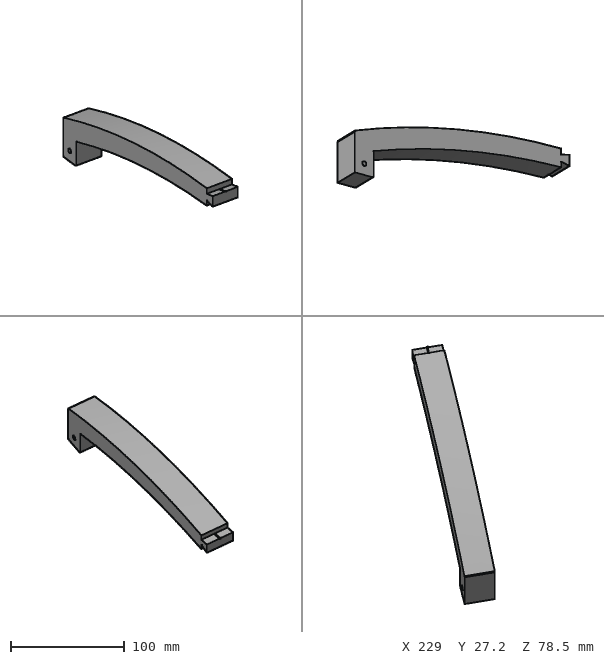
import cadquery as cq
import math

width = 27.2
height = 78.5

leg_width = 20.1
leg_outer_height = 40.5
leg_inner_height = 25.6
toe_radius = 1.4
hole_diameter = 4.3
hole_height = 11.0

bevel_run = 0.5
bevel_drop = 1.4

arm_end = 219.3
arm_thickness = 18.0
outer_bulge = 9.6
inner_bulge = 7.8

tongue_end = 228.2
tongue_center = 69.4
tongue_root = 6.9
tongue_tip = 11.0

rib_end = 229.0
rib_width = 1.0
rib_height = 0.2


def arc_midpoint(start, end, bulge):
    """Middle point of an arc that rises by bulge, square to its chord."""
    run = end[0] - start[0]
    rise = end[1] - start[1]
    chord = math.hypot(run, rise)
    return (
        (start[0] + end[0]) / 2 - bulge * rise / chord,
        (start[1] + end[1]) / 2 + bulge * run / chord,
    )


def extrude_across(sketch, depth):
    """Extrude an XZ outline symmetrically about the middle of the part."""
    return sketch.extrude(depth / 2, both=True)


def make_arm():
    outer_start = (bevel_run, leg_outer_height)
    outer_end = (arm_end, height)
    inner_start = (leg_width, leg_inner_height)
    inner_end = (arm_end, height - arm_thickness)
    outline = (
        cq.Workplane("XZ")
        .lineTo(0, leg_outer_height - bevel_drop)
        .lineTo(*outer_start)
        .threePointArc(arc_midpoint(outer_start, outer_end, outer_bulge), outer_end)
        .lineTo(*inner_end)
        .threePointArc(arc_midpoint(inner_start, inner_end, inner_bulge), inner_start)
        .lineTo(leg_width, 0)
        .close()
    )
    arm = extrude_across(outline, width)
    toe = cq.selectors.NearestToPointSelector((leg_width, 0, 0))
    return arm.edges("|Y").edges(toe).fillet(toe_radius)


def make_tongue():
    outline = cq.Workplane("XZ").polyline([
        (arm_end, tongue_center - tongue_root / 2),
        (tongue_end, tongue_center - tongue_tip / 2),
        (tongue_end, tongue_center + tongue_tip / 2),
        (arm_end, tongue_center + tongue_root / 2),
    ]).close()
    return extrude_across(outline, width)


def make_rib():
    root_z = tongue_center + tongue_root / 2
    tip_z = tongue_center + tongue_tip / 2
    outline = cq.Workplane("XZ").polyline([
        (arm_end, root_z),
        (tongue_end, tip_z - rib_height),
        (rib_end, tip_z),
        (rib_end, tip_z + rib_height),
    ]).close()
    return extrude_across(outline, rib_width)


def make_hole():
    outline = cq.Workplane("XZ").center(leg_width / 2, hole_height).circle(hole_diameter / 2)
    return extrude_across(outline, width)


result = make_arm().union(make_tongue()).union(make_rib()).cut(make_hole())